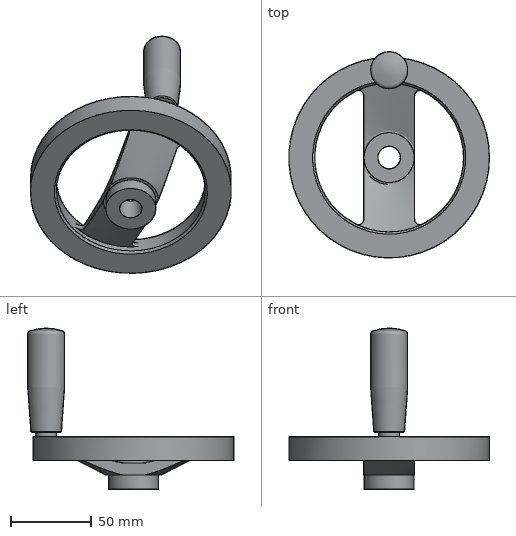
import cadquery as cq
import math

RIM_DIAMETER = 125.0
RIM_RADIUS = RIM_DIAMETER / 2
RIM_INNER_RADIUS = 46.3
RIM_BOTTOM = 18.0
RIM_TOP = 32.9
RIM_CHAMFER = 1.4

HUB_RADIUS = 15.5
HUB_TOP = 18.0
FILLET_WIDTH = 1.2
BORE_RADIUS = 7.0

SPOKE_WIDTH = 31.9
SPOKE_CORNER_RADIUS = 3.2
WEB_FOOT_RADIUS = HUB_RADIUS + FILLET_WIDTH
WEB_UNDERSIDE_FOOT_RADIUS = 17.2
WEB_FOOT_BOTTOM = 9.0
WEB_FOOT_TOP = 16.5
WEB_RIM_BOTTOM = 23.6
WEB_RIM_TOP = 27.8

TOTAL_LENGTH = 128.5
TOTAL_HEIGHT = 100.5
GRIP_RADIUS = 11.6
GRIP_Y = TOTAL_LENGTH - RIM_RADIUS - GRIP_RADIUS
GRIP_BOTTOM = 35.5
GRIP_FOOT_RADIUS = 9.6
GRIP_FOOT_CHAMFER = 0.8
GRIP_TAPER_TOP = 63.2
GRIP_SHOULDER = 96.5
DOME_RADIUS = 9.4
DOME_BOTTOM = 99.0
NECK_RADIUS = 6.5


def make_rim():
    height = RIM_TOP - RIM_BOTTOM
    ring = cq.Workplane("XY").workplane(offset=RIM_BOTTOM).circle(RIM_RADIUS).circle(RIM_INNER_RADIUS)
    inner_edges = cq.selectors.RadiusNthSelector(0)
    return ring.extrude(height).faces("<Z or >Z").edges(inner_edges).chamfer(RIM_CHAMFER)


def make_hub():
    return cq.Workplane("XY").circle(HUB_RADIUS).extrude(HUB_TOP)


def make_web():
    """Dished disc, blended into the top of the hub by a concave fillet."""
    web_slope = math.atan2(WEB_RIM_TOP - WEB_FOOT_TOP, RIM_INNER_RADIUS - WEB_FOOT_RADIUS)
    fillet_rise = FILLET_WIDTH * math.tan(math.pi / 4 - web_slope / 2)
    return (
        cq.Workplane("XZ")
        .moveTo(0, WEB_FOOT_BOTTOM)
        .lineTo(WEB_UNDERSIDE_FOOT_RADIUS, WEB_FOOT_BOTTOM)
        .lineTo(RIM_INNER_RADIUS, WEB_RIM_BOTTOM)
        .lineTo(RIM_INNER_RADIUS, WEB_RIM_TOP)
        .lineTo(WEB_FOOT_RADIUS, WEB_FOOT_TOP)
        .tangentArcPoint((HUB_RADIUS, WEB_FOOT_TOP + fillet_rise), relative=False)
        .lineTo(HUB_RADIUS, HUB_TOP)
        .lineTo(0, HUB_TOP)
        .close()
        .revolve(360, (0, 0), (0, 1))
    )


def make_window(side):
    """Opening between the spoke and the rim on one side of the hub."""
    beside_spoke = (
        cq.Workplane("XY")
        .moveTo(side * (SPOKE_WIDTH / 2 + RIM_RADIUS), 0)
        .rect(2 * RIM_RADIUS, 2 * RIM_RADIUS)
        .extrude(RIM_TOP)
    )
    disc = cq.Workplane("XY").circle(RIM_INNER_RADIUS).extrude(RIM_TOP)
    return disc.intersect(beside_spoke).edges("|Z").fillet(SPOKE_CORNER_RADIUS)


def make_handle():
    dome_height = TOTAL_HEIGHT - DOME_BOTTOM
    dome_sphere_radius = (DOME_RADIUS**2 + dome_height**2) / (2 * dome_height)
    grip = (
        cq.Workplane("XZ")
        .moveTo(0, RIM_TOP)
        .lineTo(NECK_RADIUS, RIM_TOP)
        .lineTo(NECK_RADIUS, GRIP_BOTTOM)
        .lineTo(GRIP_FOOT_RADIUS - GRIP_FOOT_CHAMFER, GRIP_BOTTOM)
        .lineTo(GRIP_FOOT_RADIUS, GRIP_BOTTOM + GRIP_FOOT_CHAMFER)
        .lineTo(GRIP_RADIUS, GRIP_TAPER_TOP)
        .lineTo(GRIP_RADIUS, GRIP_SHOULDER)
        .tangentArcPoint((DOME_RADIUS, DOME_BOTTOM), relative=False)
        .radiusArc((0, TOTAL_HEIGHT), -dome_sphere_radius)
        .close()
        .revolve(360, (0, 0), (0, 1))
    )
    return grip.translate((0, GRIP_Y, 0))


spoke = make_web()
for window_side in (-1, 1):
    spoke = spoke.cut(make_window(window_side))

bore = cq.Workplane("XY").circle(BORE_RADIUS).extrude(HUB_TOP)
result = make_rim().union(spoke).union(make_hub()).cut(bore).union(make_handle())